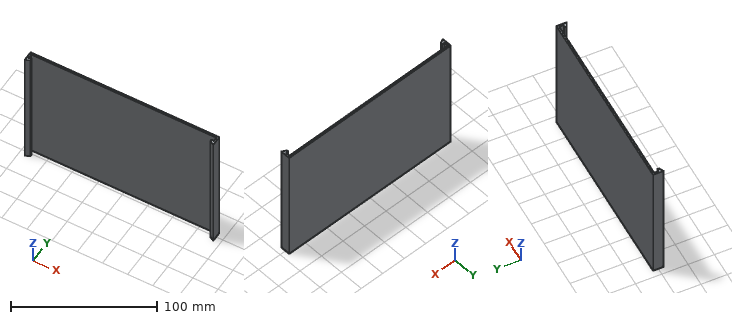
import cadquery as cq

width = 150.0
depth = 8.0
height = 100.0

plate_thickness = 1.5
wall_thickness = 1.5
hook_reach = 3.5
hook_tip_length = 1.5
lead_in_depth = hook_reach / 2

half_width = width / 2
back_y = depth / 2
front_y = -depth / 2
inner_x = half_width - wall_thickness
tip_x = half_width - hook_reach
tip_front_y = front_y + lead_in_depth
catch_y = tip_front_y + hook_tip_length


def make_plate():
    """Flat cover plate along the back."""
    plate_center_y = back_y - plate_thickness / 2
    return cq.Workplane("XY").box(width, plate_thickness, height).translate((0, plate_center_y, 0))


def make_hooked_wall():
    """Side wall at +X with an inward hook and a sloped lead-in."""
    profile = [
        (half_width, back_y),
        (half_width, front_y),
        (tip_x, tip_front_y),
        (tip_x, catch_y),
        (inner_x, catch_y),
        (inner_x, back_y),
    ]
    return (
        cq.Workplane("XY", origin=(0, 0, -height / 2))
        .polyline(profile)
        .close()
        .extrude(height)
    )


right_wall = make_hooked_wall()
left_wall = right_wall.mirror("YZ")
result = make_plate().union(right_wall).union(left_wall)